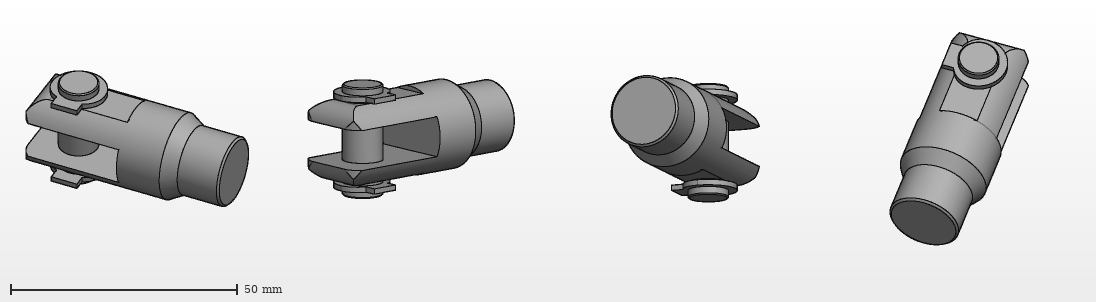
import cadquery as cq
import math

length = 48.0
body_radius = 10.01
shoulder_end = 34.45
neck_start = 37.9
neck_radius = 8.0
neck_chamfer = 0.5

fork_length = 24.0
slot_width = 9.0
fork_height = 18.0
tip_radius = 5.0

tip_arc_drop = slot_width / 2 - (fork_height / 2 - tip_radius)
tip_overhang = tip_radius - math.sqrt(tip_radius**2 - tip_arc_drop**2)

pin_x = 10.0
pin_radius = 4.5
pin_length = 25.0
pin_chamfer = 0.3

clip_radius = 6.45
clip_thickness = 1.2
clip_inset = 1.75
tab_width = 6.3
tab_reach = 7.5
tab_root = 4.75

side_drop = clip_radius - tab_width / 2
side_arc_radius = (side_drop**2 + tab_root**2) / (2 * side_drop)
side_arc_half_angle = math.atan2(side_drop, tab_root)
side_arc_x = clip_radius - side_arc_radius * (1 - math.cos(side_arc_half_angle))
side_arc_y = -side_arc_radius * math.sin(side_arc_half_angle)


def make_body():
    """Round bar with a conical shoulder leading to a chamfered neck."""
    profile = (
        cq.Workplane("XY")
        .moveTo(0, 0)
        .lineTo(0, body_radius)
        .lineTo(shoulder_end, body_radius)
        .lineTo(neck_start, neck_radius)
        .lineTo(length - neck_chamfer, neck_radius)
        .lineTo(length, neck_radius - neck_chamfer)
        .lineTo(length, 0)
        .close()
    )
    return profile.revolve(360, (0, 0, 0), (1, 0, 0))


def tip_block(width, height):
    """Box spanning the whole length from the fork tip at X = 0."""
    return cq.Workplane("XY").box(length, width, height, centered=(False, True, True))


def cut_fork(body):
    """Flatten the fork, round its tip in plan and in side profile, and open the slot."""
    rounded_plan = tip_block(2 * body_radius, 2 * body_radius).edges("<X and |Z").fillet(tip_radius)
    rounded_side = tip_block(2 * body_radius, fork_height).edges("<X and |Y").fillet(tip_radius)
    rounded_side = rounded_side.translate((-tip_overhang, 0, 0))
    fork_zone = cq.Workplane("XY").box(
        fork_length, 2 * body_radius, 2 * body_radius, centered=(False, True, True)
    )
    slot = cq.Workplane("XY").box(
        fork_length, 2 * body_radius, slot_width, centered=(False, True, True)
    )
    fork = body.intersect(fork_zone).intersect(rounded_plan).intersect(rounded_side).cut(slot)
    return body.cut(fork_zone).union(fork)


def make_pin():
    """Pin centred on the bar axis, chamfered at both ends."""
    pin = cq.Workplane("XY").center(pin_x, 0).circle(pin_radius).extrude(pin_length / 2, both=True)
    return pin.faces("|Z").chamfer(pin_chamfer)


def make_clip(bottom):
    """Clip with a round back, narrowing arcs and a rectangular tab pointing toward -Y."""
    half_tab = tab_width / 2
    outline = (
        cq.Workplane("XY")
        .workplane(offset=bottom)
        .center(pin_x, 0)
        .moveTo(half_tab, -tab_reach)
        .lineTo(half_tab, -tab_root)
        .threePointArc((side_arc_x, side_arc_y), (clip_radius, 0))
        .threePointArc((0, clip_radius), (-clip_radius, 0))
        .threePointArc((-side_arc_x, side_arc_y), (-half_tab, -tab_root))
        .lineTo(-half_tab, -tab_reach)
        .close()
    )
    return outline.extrude(clip_thickness)


clip_top = pin_length / 2 - clip_inset
result = cut_fork(make_body()).union(make_pin())
for clip_bottom in (clip_top - clip_thickness, -clip_top):
    result = result.union(make_clip(clip_bottom))